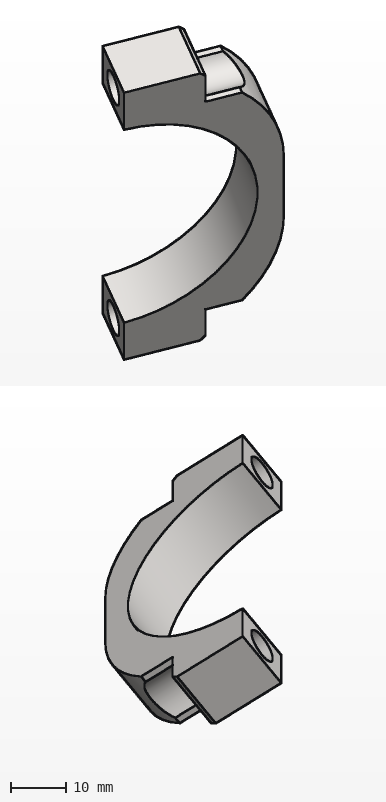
import cadquery as cq
import math

width = 12.0
depth = 30.5
height = 72.0

bore_radius = 26.0
bore_axis_y = -0.5

lug_depth = 15.55
lug_chamfer = 1.0

shoulder_y = 22.5
shoulder_z = 28.0
back_flat_half = 8.0

bolt_z = 31.0
bolt_diameter = 6.6
head_clearance_diameter = 11.0

arc_rise = shoulder_z - back_flat_half
arc_drop = depth - shoulder_y
arch_radius = (arc_rise**2 + arc_drop**2) / (2 * arc_drop)
arch_center_y = depth - arch_radius

arc_half_angle = math.asin(arc_rise / arch_radius) / 2
arc_mid_y = arch_center_y + arch_radius * math.cos(arc_half_angle)
arc_mid_z = back_flat_half + arch_radius * math.sin(arc_half_angle)


def make_body():
    """Extrude the outer Y-Z profile across the width and cut the bore."""
    half_height = height / 2
    body = (
        cq.Workplane("YZ")
        .moveTo(0, -half_height)
        .lineTo(lug_depth - lug_chamfer, -half_height)
        .lineTo(lug_depth, -half_height + lug_chamfer)
        .lineTo(lug_depth, -shoulder_z)
        .lineTo(shoulder_y, -shoulder_z)
        .threePointArc((arc_mid_y, -arc_mid_z), (depth, -back_flat_half))
        .lineTo(depth, back_flat_half)
        .threePointArc((arc_mid_y, arc_mid_z), (shoulder_y, shoulder_z))
        .lineTo(lug_depth, shoulder_z)
        .lineTo(lug_depth, half_height - lug_chamfer)
        .lineTo(lug_depth - lug_chamfer, half_height)
        .lineTo(0, half_height)
        .close()
        .extrude(width / 2, both=True)
    )
    bore = (
        cq.Workplane("YZ")
        .center(bore_axis_y, 0)
        .circle(bore_radius)
        .extrude(width / 2, both=True)
    )
    return body.cut(bore)


def cylinder_along_y(diameter, start_y, end_y, z):
    """Cylinder on X = 0 running from start_y to end_y."""
    return cq.Workplane(
        cq.Solid.makeCylinder(
            diameter / 2, end_y - start_y, cq.Vector(0, start_y, z), cq.Vector(0, 1, 0)
        )
    )


result = make_body()
for z in (-bolt_z, bolt_z):
    result = result.cut(cylinder_along_y(bolt_diameter, 0, depth, z))
    result = result.cut(cylinder_along_y(head_clearance_diameter, lug_depth, depth, z))